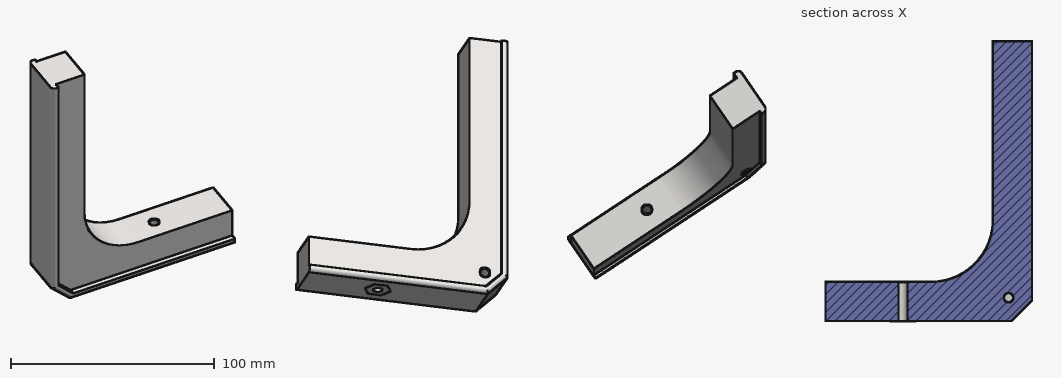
import cadquery as cq
import math

width = 24.6
depth = 101.6
height = 137.6

leg_thickness = 19.4
inner_radius = 30.0
corner_chamfer = 10.2

rail_thickness = 3.5
left_overhang = 1.7
right_overhang = 2.9
rail_fillet = 2.0

hole_diameter = 4.5
hole_mouth_diameter = 5.4
countersink_angle = 90.0
side_hole_depth = 11.0
side_hole_offset = 11.5
leg_hole_from_end = 38.1

nut_flats = 11.4
nut_height = 0.1

left_x = -width / 2
body_left_x = left_x + left_overhang
body_width = width - left_overhang - right_overhang
body_center_x = body_left_x + body_width / 2
bottom_z = nut_height
leg_top_z = bottom_z + leg_thickness
leg_hole_y = depth - leg_hole_from_end


def l_body():
    """Extrude an L with a chamfered outer corner and a rounded inner corner."""
    profile = (
        cq.Workplane("YZ", origin=(body_left_x, 0, 0))
        .moveTo(corner_chamfer, bottom_z)
        .lineTo(depth, bottom_z)
        .lineTo(depth, leg_top_z)
        .lineTo(leg_thickness + inner_radius, leg_top_z)
        .radiusArc((leg_thickness, leg_top_z + inner_radius), inner_radius)
        .lineTo(leg_thickness, height)
        .lineTo(0, height)
        .lineTo(0, bottom_z + corner_chamfer)
        .close()
    )
    return profile.extrude(body_width)


def rail():
    """Constant-thickness strip following the outer faces, with rounded outer edges."""
    corner_shift = rail_thickness * math.tan(math.pi / 8)
    inner_corner = corner_chamfer + corner_shift
    inner_z = bottom_z + rail_thickness
    profile = (
        cq.Workplane("YZ", origin=(left_x, 0, 0))
        .moveTo(corner_chamfer, bottom_z)
        .lineTo(depth, bottom_z)
        .lineTo(depth, inner_z)
        .lineTo(inner_corner, inner_z)
        .lineTo(rail_thickness, bottom_z + inner_corner)
        .lineTo(rail_thickness, height)
        .lineTo(0, height)
        .lineTo(0, bottom_z + corner_chamfer)
        .close()
    )
    strip = profile.extrude(width)
    half_chamfer = corner_chamfer / 2
    outer_edge_middles = [
        (depth / 2 + half_chamfer, bottom_z),
        (half_chamfer, bottom_z + half_chamfer),
        (0, (bottom_z + corner_chamfer + height) / 2),
    ]
    outer_edges = cq.Workplane("XY")
    for x in (left_x, left_x + width):
        for y, z in outer_edge_middles:
            nearest = strip.edges(cq.selectors.NearestToPointSelector((x, y, z)))
            outer_edges = outer_edges.add(nearest)
    return strip.newObject(outer_edges.vals()).fillet(rail_fillet)


bracket = l_body().union(rail())

nut = (
    cq.Workplane("XY", origin=(body_center_x, leg_hole_y, 0))
    .transformed(rotate=(0, 0, 90))
    .polygon(6, nut_flats / math.cos(math.pi / 6))
    .extrude(bottom_z + rail_thickness)
)
bracket = bracket.union(nut)

bracket = (
    bracket.copyWorkplane(cq.Workplane("XY", origin=(body_center_x, leg_hole_y, leg_top_z)))
    .cskHole(hole_diameter, hole_mouth_diameter, countersink_angle)
)

side_plane = cq.Plane(
    origin=(body_left_x, side_hole_offset, bottom_z + side_hole_offset),
    xDir=(0, -1, 0),
    normal=(-1, 0, 0),
)
bracket = (
    bracket.copyWorkplane(cq.Workplane(side_plane))
    .cskHole(hole_diameter, hole_mouth_diameter, countersink_angle, depth=side_hole_depth)
)

result = bracket